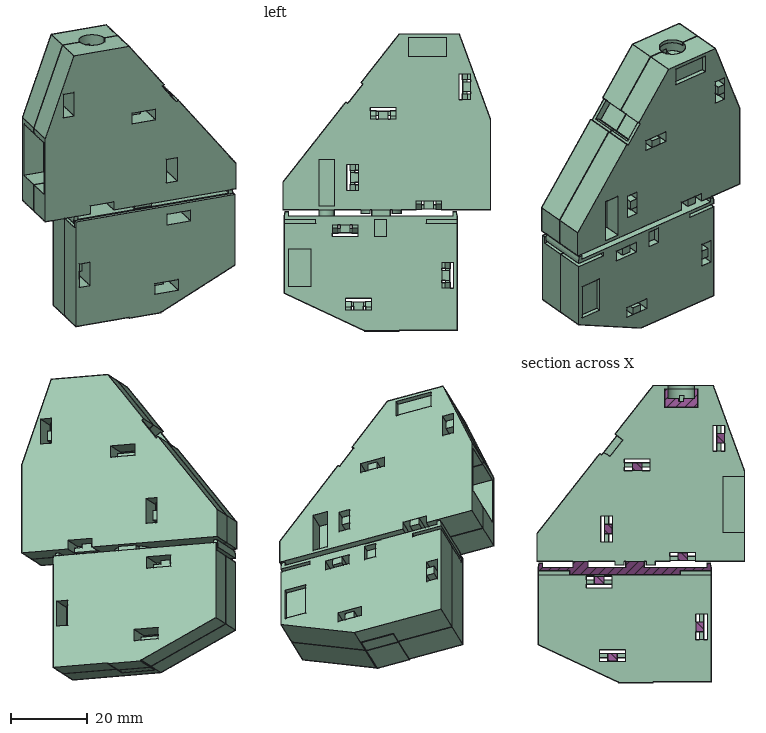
import cadquery as cq
import math


WIDTH = 15.1
HEIGHT = 77.35
PARTING_GAP = 0.15
WALL = 0.9
SIDE_X = WIDTH / 2
PARTING_X = PARTING_GAP / 2
OVERSHOOT = 0.8

UPPER_BACK_Y = 27.0
UPPER_FRONT_Y = -27.0
UPPER_BOTTOM_Z = 31.55
UPPER_BACK_TOP_Z = 38.8
UPPER_FRONT_TOP_Z = 55.15
ROOF_BACK_Y = -3.25
ROOF_FRONT_Y = -18.9

LABEL_START = 16.1
LABEL_END = 22.5
LABEL_DEPTH = 0.6
CAVITY_MARGIN = 0.7
CAVITY_LEAN = 0.3
CAVITY_LEAN_DEPTH = 1.55
CAVITY_DEPTH = 2.55

CAVITY_WIDTH = WIDTH - 2 * WALL
FRONT_CAVITY_BOTTOM_Z = 39.1
FRONT_CAVITY_TOP_Z = 53.7
FRONT_CAVITY_DEPTH = 5.6

SCREW_Y = -10.5
SCREW_RADIUS = 3.4
SCREW_WELL_DEPTH = 3.4
SCREW_HEAD_HEIGHT = 2.3
SCREW_SLOT_WIDTH = 1.15
SCREW_SLOT_DEPTH = 0.8
SCREW_SLOT_ANGLE = -2.5
SCREW_TOP_Z = HEIGHT - SCREW_WELL_DEPTH
SCREW_BOTTOM_Z = SCREW_TOP_Z - SCREW_HEAD_HEIGHT
SLEEVE_TOP_Z = HEIGHT - WALL
SLEEVE_RADIUS = SCREW_RADIUS + WALL

COUPLING_Y = 1.5
RING_RADIUS = 5.25
RING_BOTTOM_Z = 30.6
RING_SLOT_WIDTH = 5.7
TENON_LENGTH = 11.4
TENON_THICKNESS = 4.9
PEG_Y = 15.6
PEG_RADIUS = 2.0

LOWER_BACK_Y = 26.7
LOWER_FRONT_Y = -18.3
LOWER_TOP_Z = 30.0
LOWER_BOTTOM_Z = 0.2
LOWER_BACK_BOTTOM_Z = 9.9
FLOOR_BACK_Y = 6.0

PAD_LEFT_X = -3.4
PAD_BACK_Y = 5.8
PAD_FRONT_Y = -3.25

PLATE_THICKNESS = 0.9
PLATE_RIGHT_X = 6.1
PLATE_BOTTOM_Z = LOWER_TOP_Z - PLATE_THICKNESS
FLEX_SLOT_HEIGHT = 1.0
PLATE_SEAT_Z = PLATE_BOTTOM_Z - FLEX_SLOT_HEIGHT
RIM_INNER_X = SIDE_X - WALL
HOOK_TOP_Z = 31.1
HOOK_THICKNESS = 1.15
HOOK_LEAN = 0.2
BACK_FLEX_SLOT_LENGTH = 8.2
FRONT_FLEX_SLOT_LENGTH = 8.05

UPPER_SIDE_RECESSES = [
    (-10.6, 73.95, 9.8, 4.9, 1.2),
    (15.6, 38.6, 4.1, 12.15, 4.65),
]
LOWER_SIDE_RECESSES = [
    (22.6, 16.5, 5.8, 9.75, 1.15),
    (1.6, 26.85, 3.2, 4.5, 1.85),
]

UPPER_LATCHES = [
    (0.9, 55.15, 90),
    (-21.8, 63.6, 0),
    (7.35, 40.0, 0),
    (-10.9, 33.9, -90),
]
LOWER_LATCHES = [
    (10.8, 27.7, -90),
    (-14.3, 14.55, 180),
    (7.35, 5.6, 90),
]
WINDOW_LENGTH = 6.65
WINDOW_WIDTH = 3.0
ARM_LENGTH = 2.55
ARM_HEIGHT = 2.1
BAR_BASE = 0.9
BAR_LEFT_X = 0.8
BAR_RIGHT_X = 2.3
RAMP_LENGTH = 1.5
RAMP_LOW = 0.8
RAMP_HIGH = 2.25
RAMP_LEFT_X = -3.1
RAMP_CREST_X = -1.15


def box(x0, x1, y0, y1, z0, z1):
    """Box between two opposite corners."""
    return cq.Workplane("XY").box(x1 - x0, y1 - y0, z1 - z0, centered=False).translate((x0, y0, z0))


def prism(points, x0, x1):
    """Y-Z outline extruded along X from x0 to x1."""
    return cq.Workplane("YZ").workplane(offset=x0).polyline(points).close().extrude(x1 - x0)


def cylinder(radius, y, z0, z1):
    """Vertical cylinder on the plane X = 0."""
    return cq.Workplane("XY").workplane(offset=z0).center(0, y).circle(radius).extrude(z1 - z0)


def left_of_gap(body):
    return body.intersect(box(-WIDTH, -PARTING_X, -HEIGHT, HEIGHT, -HEIGHT, 2 * HEIGHT))


def right_of_gap(body):
    return body.intersect(box(PARTING_X, WIDTH, -HEIGHT, HEIGHT, -HEIGHT, 2 * HEIGHT))



def place_latch(part, latch):
    y, z, angle = latch
    return part.rotate((0, 0, 0), (1, 0, 0), angle - 90).translate((0, y, z))


def latch_window():
    return box(-WIDTH, WIDTH, -WINDOW_LENGTH / 2, WINDOW_LENGTH / 2, 0, WINDOW_WIDTH)


def latch_ramps():
    """Pair of ramps at the two ends of the window, carried by the left half."""
    profile = [
        (RAMP_LEFT_X, 0),
        (-PARTING_X, 0),
        (-PARTING_X, RAMP_HIGH),
        (RAMP_CREST_X, RAMP_HIGH),
        (RAMP_LEFT_X, RAMP_LOW),
    ]
    ramp = cq.Workplane("XZ").polyline(profile).close().extrude(RAMP_LENGTH)
    end_y = WINDOW_LENGTH / 2
    return ramp.translate((0, end_y, 0)).union(ramp.translate((0, RAMP_LENGTH - end_y, 0)))


def latch_arm():
    """Cross bar in the right half and the arm that reaches through the left half."""
    bar = box(BAR_LEFT_X, BAR_RIGHT_X, -WINDOW_LENGTH / 2, WINDOW_LENGTH / 2, BAR_BASE, ARM_HEIGHT)
    arm = box(-SIDE_X, BAR_RIGHT_X, -ARM_LENGTH / 2, ARM_LENGTH / 2, 0, ARM_HEIGHT)
    return bar.union(arm)


def cut_windows(body, latches):
    for latch in latches:
        body = body.cut(place_latch(latch_window(), latch))
    return body


def add_to_latches(half, part, latches):
    for latch in latches:
        half = half.union(place_latch(part, latch))
    return half


def cut_side_recesses(body, recesses):
    for y, z, length, height, depth in recesses:
        recess = box(
            -SIDE_X - OVERSHOOT, -SIDE_X + depth,
            y - length / 2, y + length / 2,
            z - height / 2, z + height / 2,
        )
        body = body.cut(recess)
    return body



def slope_point(distance, depth):
    """Point on the long slope: distance down from the roof edge, depth below the surface."""
    run = UPPER_BACK_Y - ROOF_BACK_Y
    drop = HEIGHT - UPPER_BACK_TOP_Z
    length = math.hypot(run, drop)
    y = ROOF_BACK_Y + (distance * run - depth * drop) / length
    z = HEIGHT - (distance * drop + depth * run) / length
    return (y, z)


def upper_block():
    outline = [
        (UPPER_BACK_Y, UPPER_BOTTOM_Z),
        (UPPER_BACK_Y, UPPER_BACK_TOP_Z),
        slope_point(LABEL_END, 0),
        slope_point(LABEL_END, LABEL_DEPTH),
        slope_point(LABEL_START, LABEL_DEPTH),
        slope_point(LABEL_START, 0),
        (ROOF_BACK_Y, HEIGHT),
        (ROOF_FRONT_Y, HEIGHT),
        (UPPER_FRONT_Y, UPPER_FRONT_TOP_Z),
        (UPPER_FRONT_Y, UPPER_BOTTOM_Z),
    ]
    return prism(outline, -SIDE_X, SIDE_X)


def label_cavity():
    edge = LABEL_END - CAVITY_MARGIN
    section = [
        slope_point(LABEL_START, LABEL_DEPTH),
        slope_point(edge, LABEL_DEPTH),
        slope_point(edge - CAVITY_LEAN, CAVITY_LEAN_DEPTH),
        slope_point(edge - CAVITY_LEAN, CAVITY_DEPTH),
        slope_point(LABEL_START, CAVITY_DEPTH),
    ]
    return prism(section, -CAVITY_WIDTH / 2, CAVITY_WIDTH / 2)


def front_cavity():
    return box(
        -CAVITY_WIDTH / 2, CAVITY_WIDTH / 2,
        UPPER_FRONT_Y - OVERSHOOT, UPPER_FRONT_Y + FRONT_CAVITY_DEPTH,
        FRONT_CAVITY_BOTTOM_Z, FRONT_CAVITY_TOP_Z,
    )


def coupling_ring():
    """Round boss under the housing, slotted along X."""
    ring = cylinder(RING_RADIUS, COUPLING_Y, RING_BOTTOM_Z, UPPER_BOTTOM_Z)
    slot = box(
        -RING_RADIUS, RING_RADIUS,
        COUPLING_Y - RING_SLOT_WIDTH / 2, COUPLING_Y + RING_SLOT_WIDTH / 2,
        RING_BOTTOM_Z, UPPER_BOTTOM_Z,
    )
    return ring.cut(slot)


def screw_socket():
    """Room for the sleeve below the roof wall, and the hole through that wall."""
    sleeve_room = cylinder(SLEEVE_RADIUS, SCREW_Y, SCREW_BOTTOM_Z, SLEEVE_TOP_Z)
    return sleeve_room.union(cylinder(SCREW_RADIUS, SCREW_Y, SCREW_BOTTOM_Z, HEIGHT))


def screw_well():
    """Sleeve with a slotted screw head as its floor, carried by the left half."""
    well = cylinder(SLEEVE_RADIUS, SCREW_Y, SCREW_BOTTOM_Z, SLEEVE_TOP_Z)
    well = well.cut(cylinder(SCREW_RADIUS, SCREW_Y, SCREW_TOP_Z, HEIGHT))
    slot = (
        cq.Workplane("XY")
        .box(2 * SCREW_RADIUS, SCREW_SLOT_WIDTH, 2 * SCREW_SLOT_DEPTH)
        .rotate((0, 0, 0), (0, 0, 1), SCREW_SLOT_ANGLE)
        .translate((0, SCREW_Y, SCREW_TOP_Z))
    )
    return well.cut(slot)


def upper_shape():
    """Both upper halves before they are split."""
    body = upper_block().cut(label_cavity()).cut(front_cavity()).cut(screw_socket())
    body = body.union(coupling_ring())
    body = cut_side_recesses(body, UPPER_SIDE_RECESSES)
    return cut_windows(body, UPPER_LATCHES)


def upper_left_half():
    half = left_of_gap(upper_shape()).union(screw_well())
    return add_to_latches(half, latch_ramps(), UPPER_LATCHES)


def upper_right_half():
    half = right_of_gap(upper_shape())
    return add_to_latches(half, latch_arm(), UPPER_LATCHES)



def lower_block():
    outline = [
        (LOWER_BACK_Y, LOWER_TOP_Z),
        (LOWER_BACK_Y, LOWER_BACK_BOTTOM_Z),
        (FLOOR_BACK_Y, LOWER_BOTTOM_Z),
        (LOWER_FRONT_Y, LOWER_BOTTOM_Z),
        (LOWER_FRONT_Y, LOWER_TOP_Z),
    ]
    return prism(outline, -SIDE_X, SIDE_X)


def foot_pad():
    return box(PAD_LEFT_X, SIDE_X, PAD_FRONT_Y, PAD_BACK_Y, 0, LOWER_BOTTOM_Z)


def plate_room():
    """Space for the cover plate and its flex slots, closed on the right by the rim."""
    return box(-SIDE_X, RIM_INNER_X, LOWER_FRONT_Y, LOWER_BACK_Y, PLATE_SEAT_Z, LOWER_TOP_Z)


def cover_plate():
    """Plate carried by the left half: a raised hook at each end, thinned below to flex."""
    back_slot_y = LOWER_BACK_Y - BACK_FLEX_SLOT_LENGTH
    front_slot_y = LOWER_FRONT_Y + FRONT_FLEX_SLOT_LENGTH
    outline = [
        (LOWER_BACK_Y, PLATE_BOTTOM_Z),
        (LOWER_BACK_Y, LOWER_TOP_Z),
        (LOWER_BACK_Y - HOOK_LEAN, HOOK_TOP_Z),
        (LOWER_BACK_Y - HOOK_THICKNESS, HOOK_TOP_Z),
        (LOWER_BACK_Y - HOOK_THICKNESS, LOWER_TOP_Z),
        (LOWER_FRONT_Y + HOOK_THICKNESS, LOWER_TOP_Z),
        (LOWER_FRONT_Y + HOOK_THICKNESS, HOOK_TOP_Z),
        (LOWER_FRONT_Y + HOOK_LEAN, HOOK_TOP_Z),
        (LOWER_FRONT_Y, LOWER_TOP_Z),
        (LOWER_FRONT_Y, PLATE_BOTTOM_Z),
        (front_slot_y, PLATE_BOTTOM_Z),
        (front_slot_y, PLATE_SEAT_Z),
        (back_slot_y, PLATE_SEAT_Z),
        (back_slot_y, PLATE_BOTTOM_Z),
    ]
    return prism(outline, -SIDE_X, PLATE_RIGHT_X)


def coupling_tenon():
    """Block that stands on the plate in the slot of the coupling ring."""
    return box(
        -TENON_LENGTH / 2, TENON_LENGTH / 2,
        COUPLING_Y - TENON_THICKNESS / 2, COUPLING_Y + TENON_THICKNESS / 2,
        LOWER_TOP_Z, UPPER_BOTTOM_Z,
    )


def spacer_peg():
    return cylinder(PEG_RADIUS, PEG_Y, LOWER_TOP_Z, UPPER_BOTTOM_Z)


def lower_shape():
    """Both lower halves before they are split, without the cover plate."""
    body = lower_block().union(foot_pad()).cut(plate_room())
    return cut_windows(body, LOWER_LATCHES)


def lower_left_half():
    half = left_of_gap(lower_shape()).union(cover_plate())
    half = half.union(coupling_tenon()).union(spacer_peg())
    half = cut_side_recesses(half, LOWER_SIDE_RECESSES)
    return add_to_latches(half, latch_ramps(), LOWER_LATCHES)


def lower_right_half():
    half = right_of_gap(lower_shape())
    return add_to_latches(half, latch_arm(), LOWER_LATCHES)


upper_left = upper_left_half()
upper_right = upper_right_half()
lower_left = lower_left_half()
lower_right = lower_right_half()

result = cq.Compound.makeCompound([
    upper_left.val(),
    upper_right.val(),
    lower_left.val(),
    lower_right.val(),
])